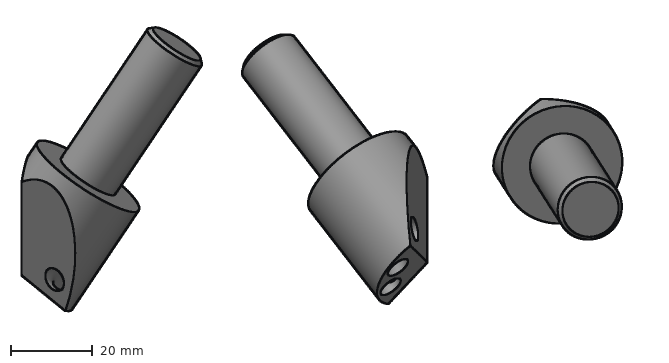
import math

import cadquery as cq

HEAD_DIAMETER = 30.0
HEAD_LENGTH = 30.0
SHANK_DIAMETER = 16.0
TOTAL_LENGTH = 70.0
SHANK_CHAMFER = 1.0

FACE_ANGLE = 120.0

PASSAGE_DIAMETER = 6.0
PASSAGE_BEND_RADIUS = 6.0
PASSAGE_FROM_CORNER = 9.2

CUTTER_SIZE = 2 * TOTAL_LENGTH
CORNER = cq.Vector(0, 0, 0)

flat_slant = math.radians(90 - FACE_ANGLE / 2)
axis_tilt = math.asin(math.tan(flat_slant))
FLAT_INWARD = cq.Vector(math.sin(flat_slant), math.cos(flat_slant), 0)
AXIS = cq.Vector(0, math.sin(axis_tilt), math.cos(axis_tilt))


def make_blank():
    """Head and chamfered shank on the tilted axis, with the head's end at the corner."""
    end_plane = cq.Plane(origin=CORNER, xDir=(1, 0, 0), normal=AXIS)
    head = cq.Workplane(end_plane).circle(HEAD_DIAMETER / 2).extrude(HEAD_LENGTH)
    shank = cq.Workplane(end_plane).circle(SHANK_DIAMETER / 2).extrude(TOTAL_LENGTH)
    shank_tip = cq.selectors.DirectionMinMaxSelector(AXIS)
    return head.union(shank.faces(shank_tip).chamfer(SHANK_CHAMFER))


def make_flat_cutter():
    """Block covering everything outside the -X flat."""
    flat_plane = cq.Plane(origin=CORNER, xDir=(0, 0, 1), normal=FLAT_INWARD * -1)
    return cq.Workplane(flat_plane).rect(CUTTER_SIZE, CUTTER_SIZE).extrude(CUTTER_SIZE)


def make_passage_cutter():
    """Ring around the edge between the head's end and the -X flat.

    Only its stretch between the two faces lies inside the part, so it cuts a
    curved passage that meets both faces squarely.
    """
    shared_edge = AXIS.cross(FLAT_INWARD).normalized()
    ring = cq.Solid.makeTorus(
        PASSAGE_BEND_RADIUS,
        PASSAGE_DIAMETER / 2,
        pnt=shared_edge * PASSAGE_FROM_CORNER,
        dir=shared_edge,
    )
    return cq.Workplane(ring)


def cut_on_both_sides(body, cutter):
    """Cut on the -X side and its mirror image on the +X side."""
    return body.cut(cutter).cut(cutter.mirror("YZ"))


result = make_blank()
result = cut_on_both_sides(result, make_flat_cutter())
result = cut_on_both_sides(result, make_passage_cutter())